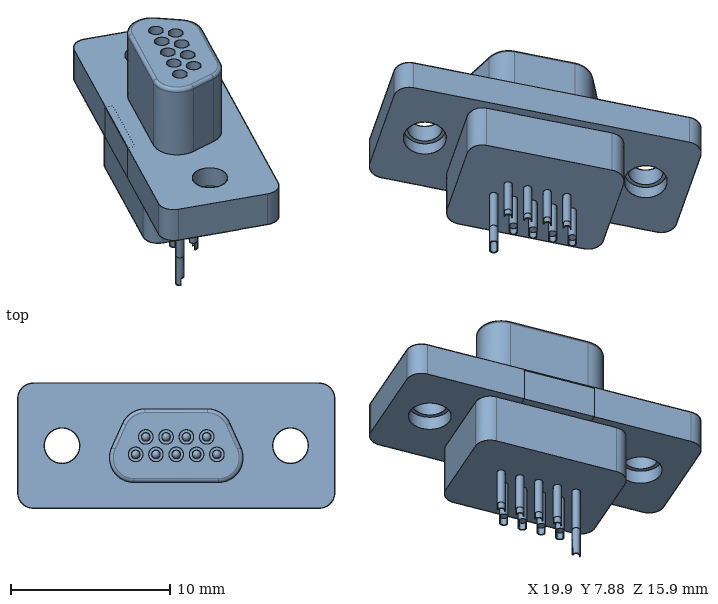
import cadquery as cq


FLANGE_LENGTH = 19.94
FLANGE_WIDTH = 7.88
FLANGE_HEIGHT = 2.33
CORNER_RADIUS = 1.0
MOUNT_HOLE_DIAMETER = 2.21
MOUNT_HOLE_SPACING = 14.35
COUNTERBORE_DIAMETER = 2.7
COUNTERBORE_DEPTH = 0.95

BASE_LENGTH = 10.17
BASE_WIDTH = 6.88
BASE_HEIGHT = 3.49
BASE_BOTTOM_Z = -BASE_HEIGHT

SHROUD_WIDTH = 4.63
SHROUD_HEIGHT = 4.98
SHROUD_RADIUS = 1.55
SHROUD_FRONT_FLAT = 5.28
SHROUD_BACK_FLAT = 3.9
SHROUD_EDGE_FILLET = 0.24
SHROUD_TOP_Z = FLANGE_HEIGHT + SHROUD_HEIGHT

FRONT_COUNT = 5
BACK_COUNT = 4
CONTACT_PITCH = 1.28
ROW_SPACING = 1.1
SOCKET_DIAMETER = 0.92
SOCKET_DEPTH = SHROUD_HEIGHT
SOCKET_FLOOR_Z = SHROUD_TOP_Z - SOCKET_DEPTH

PIN_DIAMETER = 0.54
PIN_RADIUS = PIN_DIAMETER / 2
PIN_TIP_Z = SHROUD_TOP_Z - SOCKET_DEPTH / 2
DOME_CENTRE_Z = PIN_TIP_Z - PIN_RADIUS
PIN_TAIL = 3.01
TAIL_END_Z = BASE_BOTTOM_Z - PIN_TAIL
CUP_DIAMETER = 0.44
CUP_RADIUS = CUP_DIAMETER / 2
CUP_LENGTH = 0.5
LONG_PIN_EXTRA = 2.07
LONG_CUP_OPENING = 0.54

PLATE_LENGTH = 4.77
PLATE_TOP_WALL = 0.07
PLATE_HEIGHT = FLANGE_HEIGHT - PLATE_TOP_WALL
PLATE_DEPTH = (FLANGE_WIDTH - BASE_WIDTH) / 2


def rounded_block(length, width, height, bottom_z):
    """Upright block with rounded vertical corners."""
    return (
        cq.Workplane("XY", origin=(0, 0, bottom_z))
        .rect(length, width)
        .extrude(height)
        .edges("|Z")
        .fillet(CORNER_RADIUS)
    )


def make_flange():
    """Flange plate with two mounting holes, counterbored from below."""
    return (
        rounded_block(FLANGE_LENGTH, FLANGE_WIDTH, FLANGE_HEIGHT, 0)
        .faces("<Z")
        .workplane()
        .pushPoints([(-MOUNT_HOLE_SPACING / 2, 0), (MOUNT_HOLE_SPACING / 2, 0)])
        .cboreHole(MOUNT_HOLE_DIAMETER, COUNTERBORE_DIAMETER, COUNTERBORE_DEPTH)
    )


def make_shroud():
    """D-shaped shroud: the trapezoid of its corner centres, grown by the corner radius."""
    centre_y = SHROUD_WIDTH / 2 - SHROUD_RADIUS
    corner_centres = [
        (-SHROUD_FRONT_FLAT / 2, -centre_y),
        (SHROUD_FRONT_FLAT / 2, -centre_y),
        (SHROUD_BACK_FLAT / 2, centre_y),
        (-SHROUD_BACK_FLAT / 2, centre_y),
    ]
    return (
        cq.Workplane("XY", origin=(0, 0, FLANGE_HEIGHT))
        .polyline(corner_centres)
        .close()
        .offset2D(SHROUD_RADIUS, "arc")
        .extrude(SHROUD_HEIGHT)
        .faces(">Z")
        .edges()
        .fillet(SHROUD_EDGE_FILLET)
    )


def row_points(count, y):
    """Contact centres of one row, centred on x = 0."""
    first_x = -(count - 1) * CONTACT_PITCH / 2
    return [(first_x + i * CONTACT_PITCH, y) for i in range(count)]


def make_pin(x, y, tail_z, bore_top_z, opening_top_z):
    """Pin with a domed top and a bored tail, cut open on the half facing the other row."""
    pin = (
        cq.Workplane("XY", origin=(x, y, tail_z))
        .circle(PIN_RADIUS)
        .extrude(DOME_CENTRE_Z - tail_z)
    )
    dome = cq.Workplane("XY", origin=(x, y, DOME_CENTRE_Z)).sphere(PIN_RADIUS)
    bore = (
        cq.Workplane("XY", origin=(x, y, tail_z))
        .circle(CUP_RADIUS)
        .extrude(bore_top_z - tail_z)
    )
    inward = 1 if y < 0 else -1
    opening = (
        cq.Workplane("XY", origin=(x, y + inward * PIN_RADIUS, tail_z))
        .rect(PIN_DIAMETER, PIN_DIAMETER)
        .extrude(opening_top_z - tail_z)
    )
    return pin.union(dome).cut(bore).cut(opening)


def make_pins(front_points, back_points):
    """All pins; the last one of the front row has the long tail."""
    cup_top_z = TAIL_END_Z + CUP_LENGTH
    pins = [
        make_pin(x, y, TAIL_END_Z, cup_top_z, cup_top_z)
        for x, y in front_points[:-1] + back_points
    ]
    long_x, long_y = front_points[-1]
    long_end_z = TAIL_END_Z - LONG_PIN_EXTRA
    pins.append(make_pin(long_x, long_y, long_end_z, TAIL_END_Z, long_end_z + LONG_CUP_OPENING))
    return pins


def make_plate():
    """Plate that fills the notch in the front of the flange."""
    return (
        cq.Workplane("XY")
        .center(0, (PLATE_DEPTH - FLANGE_WIDTH) / 2)
        .rect(PLATE_LENGTH, PLATE_DEPTH)
        .extrude(PLATE_HEIGHT)
    )


def make_connector(plate):
    """Flange, base, shroud and pins in one body, with the notch for the plate."""
    front_points = row_points(FRONT_COUNT, -ROW_SPACING / 2)
    back_points = row_points(BACK_COUNT, ROW_SPACING / 2)
    base = rounded_block(BASE_LENGTH, BASE_WIDTH, BASE_HEIGHT, BASE_BOTTOM_Z)
    sockets = (
        cq.Workplane("XY", origin=(0, 0, SOCKET_FLOOR_Z))
        .pushPoints(front_points + back_points)
        .circle(SOCKET_DIAMETER / 2)
        .extrude(SOCKET_DEPTH)
    )
    body = make_flange().union(base).union(make_shroud()).cut(sockets).cut(plate)
    for pin in make_pins(front_points, back_points):
        body = body.union(pin)
    return body


plate = make_plate()
connector = make_connector(plate)

result = cq.Compound.makeCompound([connector.val(), plate.val()])